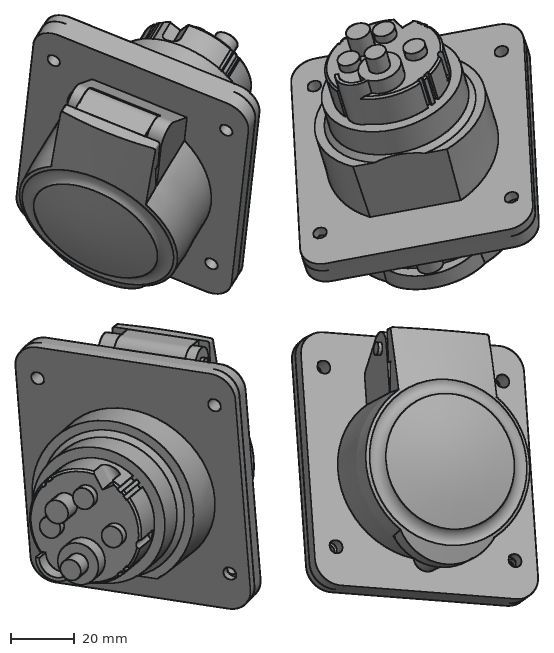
import cadquery as cq
import math


PLATE_WIDTH = 75.0
PLATE_CORNER_RADIUS = 8.0
PLATE_TILT = 10.0
SEAM_STEP = 0.1
PLATE_BACK, PLATE_SEAM, PLATE_FRONT = 36.5, 33.3, 28.3
PLATE_BACK_TOP, PLATE_TOP = 44.85, 45.3
PLATE_BACK_BOTTOM, PLATE_SEAM_BOTTOM, PLATE_FRONT_BOTTOM = -39.0, -38.6, -38.2
HOLE_RADIUS = 2.2
HOLE_X = 30.1
HOLE_TOP_Z, HOLE_BOTTOM_Z = 33.7, -25.5
HOLE_SHIFT = 0.7

LID_FACE = 4.6
LID_SEAM = 12.1
LID_RADIUS = 27.6
BODY_RADIUS = 27.9
SHOULDER = 52.9
SHOULDER_RADIUS = 27.5
NECK_START = 54.6
NECK_RADIUS = 22.55
CONE_RADIUS = 24.4
COLLAR_START, COLLAR_END = 64.1, 75.2
COLLAR_RADIUS = 19.0
COLLAR_CHAMFER = 0.7
DOME_RADIUS, DOME_DEPTH = 21.6, 2.9
RIM_RADIUS = 26.4
REAR_FLAT_START, REAR_FLAT_Z = 28.5, -23.7
REAR_FLAT_RISE = 0.8

HINGE_HALF_WIDTH = 16.5
PIN_Y, PIN_Z = 20.9, 38.0
PIN_RADIUS = 2.1
PIN_OVERHANG = 1.3
KNUCKLE_RADIUS = 5.4
BARREL_LEFT, BARREL_RIGHT = -12.9, 11.2
BARREL_RADIUS = 5.3
ARM_BOTTOM = 32.4
POCKET_BACK = 25.75
HINGE_TOP = PIN_Z + KNUCKLE_RADIUS
BRACKET_BASE_Z = 17.3

FLAP_TOP_BACK, FLAP_ARM_BACK = 14.9, 13.65
FLAP_CORNER_RADIUS = 0.9
FLARE_OUTER_RADIUS = 51.85
FLARE_SLOPE = 0.37
LUG_Z = -14.1
LUG_RADIUS = 18.0
KEEL_Z = -27.3
KEEL_RADIUS = 4.15
KEEL_END = 25.9

SLOT_WIDTH, SLOT_DEPTH = 4.4, 6.4
SLOT_TILT = 30.0
SLOT_RIGHT_X = -2.85
SLOT_END = 67.0
GROOVE_WIDTH, GROOVE_DEPTH = 1.55, 1.0
GROOVE_SPREAD = 4.6
KEYWAY_RADIUS, KEYWAY_Z, KEYWAY_END = 1.55, -3.4, 65.3

TERMINAL_RING = 10.5
SMALL_RADIUS, SMALL_END = 3.5, 78.1
SMALL_Z = -0.8
MAIN_BASE_RADIUS, MAIN_BASE_END = 6.9, 80.45
MAIN_RADIUS, MAIN_END = 3.45, 86.4
PILOT_OFFSET, PILOT_RADIUS, PILOT_END = 6.5, 3.9, 82.35
SHROUD_X, SHROUD_WALL = 7.5, 1.2


def rod(x, z, radius, start, end):
    """Cylinder along Y between two depths."""
    return cq.Workplane("XZ", origin=(x, start, z)).circle(radius).extrude(start - end)


def slab(points, left, right):
    """Outline in (Y, Z) extruded along X."""
    return cq.Workplane("YZ", origin=(left, 0, 0)).polyline(points).close().extrude(right - left)


def plate_point(axis_depth, z):
    """Point at height z on the tilted plane that crosses the body axis at axis_depth."""
    return (axis_depth + z * math.tan(math.radians(PLATE_TILT)), z)


def plate_layer(width, back, back_top, back_bottom, front, front_top, front_bottom):
    """One layer of the tilted plate, with its four corners rounded."""
    outline = [
        plate_point(back, back_top),
        plate_point(front, front_top),
        plate_point(front, front_bottom),
        plate_point(back, back_bottom),
    ]
    layer = slab(outline, -width / 2, width / 2)
    corners = layer.faces("<X or >X").edges(">Z or <Z")
    return corners.fillet(PLATE_CORNER_RADIUS)


def mounting_plate():
    back = plate_layer(PLATE_WIDTH - 2 * SEAM_STEP,
                       PLATE_BACK, PLATE_BACK_TOP, PLATE_BACK_BOTTOM,
                       PLATE_SEAM, PLATE_TOP, PLATE_SEAM_BOTTOM)
    front = plate_layer(PLATE_WIDTH,
                        PLATE_SEAM, PLATE_TOP, PLATE_SEAM_BOTTOM,
                        PLATE_FRONT, PLATE_TOP, PLATE_FRONT_BOTTOM)
    for side in (-1, 1):
        for hole_z in (HOLE_TOP_Z, HOLE_BOTTOM_Z):
            front = front.cut(rod(side * HOLE_X, hole_z, HOLE_RADIUS, 0, COLLAR_END))
        back = back.cut(rod(side * HOLE_X, HOLE_TOP_Z, HOLE_RADIUS, 0, COLLAR_END))
        back = back.cut(rod(side * (HOLE_X + HOLE_SHIFT), HOLE_BOTTOM_Z - HOLE_SHIFT,
                            HOLE_RADIUS, 0, COLLAR_END))
    return back.union(front)


def turned_body():
    """Dome, lid, housing, neck and collar as one revolved profile."""
    dome_sphere = (DOME_RADIUS**2 + DOME_DEPTH**2) / (2 * DOME_DEPTH)
    half = DOME_RADIUS / 2
    dome_middle = (half, dome_sphere - math.sqrt(dome_sphere**2 - half**2))
    groove_middle = (DOME_RADIUS + 1.9, LID_FACE + 0.1)
    return (
        cq.Workplane("XY")
        .moveTo(0, 0)
        .threePointArc(dome_middle, (DOME_RADIUS, DOME_DEPTH))
        .threePointArc(groove_middle, (RIM_RADIUS, LID_FACE))
        .lineTo(LID_RADIUS, LID_FACE + FLARE_SLOPE * (LID_RADIUS - RIM_RADIUS))
        .lineTo(BODY_RADIUS, LID_SEAM)
        .lineTo(SHOULDER_RADIUS, SHOULDER)
        .lineTo(CONE_RADIUS, SHOULDER)
        .lineTo(NECK_RADIUS, NECK_START)
        .lineTo(NECK_RADIUS, COLLAR_START)
        .lineTo(COLLAR_RADIUS, COLLAR_START)
        .lineTo(COLLAR_RADIUS, COLLAR_END - COLLAR_CHAMFER)
        .lineTo(COLLAR_RADIUS - COLLAR_CHAMFER, COLLAR_END)
        .lineTo(0, COLLAR_END)
        .close()
        .revolve(360, (0, 0, 0), (0, 1, 0))
    )


def rear_flat():
    """Wedge removed under the housing behind the plate."""
    outline = [
        (REAR_FLAT_START, REAR_FLAT_Z),
        (NECK_START, REAR_FLAT_Z + REAR_FLAT_RISE),
        (NECK_START, -BODY_RADIUS - 0.9),
        (REAR_FLAT_START, -BODY_RADIUS - 0.9),
    ]
    return slab(outline, -BODY_RADIUS, BODY_RADIUS)


def hinge_bracket():
    diagonal = KNUCKLE_RADIUS * math.sqrt(0.5)
    tilt = math.radians(PLATE_TILT)
    front_y = PIN_Y - KNUCKLE_RADIUS * math.cos(tilt)
    front_z = PIN_Z + KNUCKLE_RADIUS * math.sin(tilt)
    foot_y = front_y - (front_z - BRACKET_BASE_Z) * math.tan(tilt)
    root_y, root_z = plate_point(PLATE_SEAM, PIN_Z - KNUCKLE_RADIUS)
    root_z = PIN_Z + diagonal - (root_y - PIN_Y - diagonal)
    bracket = (
        cq.Workplane("YZ", origin=(-HINGE_HALF_WIDTH, 0, 0))
        .moveTo(*plate_point(PLATE_SEAM, BRACKET_BASE_Z))
        .lineTo(root_y, root_z)
        .lineTo(PIN_Y + diagonal, PIN_Z + diagonal)
        .threePointArc((PIN_Y, HINGE_TOP), (front_y, front_z))
        .lineTo(foot_y, BRACKET_BASE_Z)
        .close()
        .extrude(2 * HINGE_HALF_WIDTH)
    )
    pocket = [(0, ARM_BOTTOM), (POCKET_BACK, ARM_BOTTOM), (POCKET_BACK, HINGE_TOP), (0, HINGE_TOP)]
    pin = (
        cq.Workplane("YZ", origin=(-HINGE_HALF_WIDTH - PIN_OVERHANG, 0, 0))
        .center(PIN_Y, PIN_Z)
        .circle(PIN_RADIUS)
        .extrude(HINGE_HALF_WIDTH + PIN_OVERHANG)
    )
    return bracket.cut(slab(pocket, BARREL_LEFT, BARREL_RIGHT)).union(pin)


def hinge_arm():
    """Barrel around the pin and the arm that carries the lid flap."""
    barrel = (
        cq.Workplane("YZ", origin=(BARREL_LEFT, 0, 0))
        .center(PIN_Y, PIN_Z)
        .circle(BARREL_RADIUS)
        .extrude(BARREL_RIGHT - BARREL_LEFT)
    )
    arm_top = PIN_Z + BARREL_RADIUS
    arm = [
        (FLAP_ARM_BACK, ARM_BOTTOM),
        (PIN_Y, ARM_BOTTOM),
        (PIN_Y, arm_top),
        (FLAP_ARM_BACK, arm_top),
    ]
    return barrel.union(slab(arm, BARREL_LEFT, BARREL_RIGHT))


def lid_flare():
    """Ring outside the lid rim, faced by the shallow cone of the flap and the lug."""
    flare_edge = LID_FACE + FLARE_SLOPE * (FLARE_OUTER_RADIUS - RIM_RADIUS)
    outline = [
        (RIM_RADIUS, LID_FACE),
        (FLARE_OUTER_RADIUS, flare_edge),
        (FLARE_OUTER_RADIUS, PIN_Y),
        (RIM_RADIUS, PIN_Y),
    ]
    return cq.Workplane("XY").polyline(outline).close().revolve(360, (0, 0, 0), (0, 1, 0))


def lid_flap():
    outline = [
        (LID_FACE, BRACKET_BASE_Z),
        (LID_FACE, HINGE_TOP),
        (FLAP_TOP_BACK, HINGE_TOP),
        (FLAP_ARM_BACK, ARM_BOTTOM),
        (LID_SEAM, ARM_BOTTOM),
        (LID_SEAM, BRACKET_BASE_Z),
    ]
    flap = slab(outline, -HINGE_HALF_WIDTH, HINGE_HALF_WIDTH)
    return flap.edges("|Y").edges(">Z").fillet(FLAP_CORNER_RADIUS)


def collar_slot():
    """Round-ended slot sunk into the collar from its rear face, on a tilted direction."""
    rim_z = math.sqrt(COLLAR_RADIUS**2 - SLOT_RIGHT_X**2)
    end_radius = SLOT_WIDTH / 2
    length = COLLAR_END - SLOT_END
    cutter = (
        cq.Workplane("XY", origin=(0, 0, -SLOT_DEPTH))
        .moveTo(0, end_radius)
        .lineTo(0, length)
        .lineTo(-SLOT_WIDTH, length)
        .lineTo(-SLOT_WIDTH, end_radius)
        .threePointArc((-end_radius, 0), (0, end_radius))
        .close()
        .extrude(2 * SLOT_DEPTH)
    )
    cutter = cutter.rotate((0, 0, 0), (0, 1, 0), SLOT_TILT)
    return cutter.translate((SLOT_RIGHT_X, SLOT_END, rim_z))


def collar_grooves():
    """Pairs of narrow grooves along the collar on its four diagonals."""
    grooves = cq.Workplane("XY")
    length = COLLAR_END - COLLAR_START
    for diagonal in (45, 135, 225, 315):
        for offset in (-GROOVE_SPREAD, GROOVE_SPREAD):
            groove = cq.Workplane("XY").box(2 * GROOVE_DEPTH, length, GROOVE_WIDTH)
            groove = groove.translate((COLLAR_RADIUS, (COLLAR_START + COLLAR_END) / 2, 0))
            grooves = grooves.union(groove.rotate((0, 0, 0), (0, 1, 0), diagonal + offset))
    return grooves


def terminals():
    main = rod(0, -TERMINAL_RING, MAIN_BASE_RADIUS, COLLAR_START, MAIN_BASE_END)
    main = main.union(rod(0, -TERMINAL_RING, MAIN_RADIUS, COLLAR_START, MAIN_END))
    pilot = rod(PILOT_OFFSET, PILOT_OFFSET, PILOT_RADIUS, COLLAR_START, PILOT_END)
    pins = main.union(pilot)
    for x, z in ((-TERMINAL_RING, SMALL_Z), (TERMINAL_RING, SMALL_Z), (SMALL_Z, TERMINAL_RING)):
        pins = pins.union(rod(x, z, SMALL_RADIUS, COLLAR_START, SMALL_END))
    return pins


def terminal_shroud():
    """Thin half tube beside the main terminal, open toward +Z."""
    outer = rod(SHROUD_X, -TERMINAL_RING, MAIN_BASE_RADIUS, COLLAR_START, MAIN_BASE_END)
    bore = rod(SHROUD_X, -TERMINAL_RING, MAIN_BASE_RADIUS - SHROUD_WALL, COLLAR_END, MAIN_BASE_END)
    lower_half = cq.Workplane("XY").box(86.4, 259.2, 86.4).translate((0, 0, -TERMINAL_RING - 43.2))
    return outer.cut(bore).intersect(lower_half)


body = turned_body().cut(rear_flat()).cut(collar_slot()).cut(collar_grooves())
body = body.cut(rod(-COLLAR_RADIUS, KEYWAY_Z, KEYWAY_RADIUS, KEYWAY_END, COLLAR_END))

lid_lug = rod(0, LUG_Z, LUG_RADIUS, LID_FACE, LID_SEAM)
keel = rod(0, KEEL_Z, KEEL_RADIUS, LID_SEAM, KEEL_END)
lid_parts = lid_flap().union(lid_lug).intersect(lid_flare())

result = body.union(mounting_plate()).union(hinge_bracket()).union(hinge_arm()).union(lid_parts)
result = result.union(keel).union(terminal_shroud()).union(terminals())